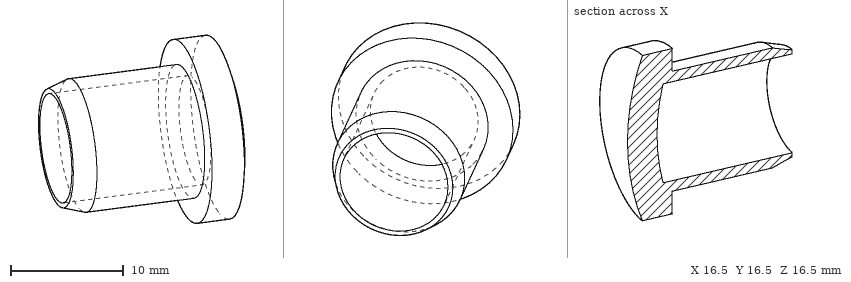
import cadquery as cq

head_diameter = 16.5
total_length = 16.5
dome_height = 1.5
rim_thickness = 3.0
shank_diameter = 12.0
tip_diameter = 10.7
tip_length = 2.0
bore_diameter = 9.8

head_radius = head_diameter / 2
shank_radius = shank_diameter / 2
tip_radius = tip_diameter / 2
bore_radius = bore_diameter / 2

rim_top = total_length - dome_height
rim_bottom = rim_top - rim_thickness

dome_radius = (head_radius**2 + dome_height**2) / (2 * dome_height)
dome_center = total_length - dome_radius


def height_on_sphere(sphere_radius, distance_from_axis):
    """Axial position of a sphere concentric with the dome."""
    return dome_center + (sphere_radius**2 - distance_from_axis**2) ** 0.5


wall_thickness = rim_thickness
inner_radius = dome_radius - wall_thickness
bore_corner = height_on_sphere(inner_radius, bore_radius)
bore_end = height_on_sphere(inner_radius, 0)

section = (
    cq.Workplane("XY")
    .moveTo(bore_radius, 0)
    .lineTo(tip_radius, 0)
    .lineTo(shank_radius, tip_length)
    .lineTo(shank_radius, rim_bottom)
    .lineTo(head_radius, rim_bottom)
    .lineTo(head_radius, rim_top)
    .threePointArc(
        (head_radius / 2, height_on_sphere(dome_radius, head_radius / 2)),
        (0, total_length),
    )
    .lineTo(0, bore_end)
    .threePointArc(
        (bore_radius / 2, height_on_sphere(inner_radius, bore_radius / 2)),
        (bore_radius, bore_corner),
    )
    .close()
)

result = section.revolve(360, (0, 0, 0), (0, 1, 0))